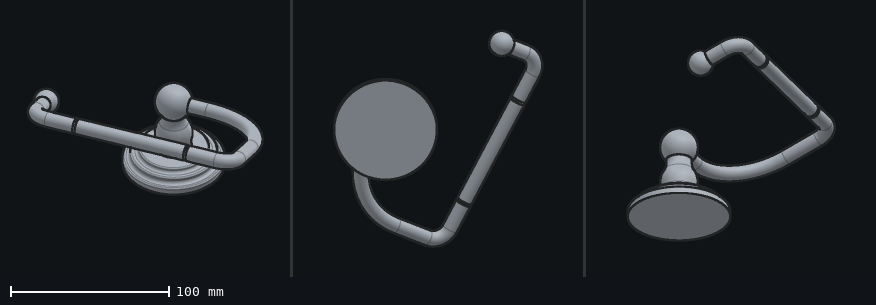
import cadquery as cq
import math

base_radius = 32.5
base_top = 4.9
middle_radius = 27.8
middle_foot_radius = 30.1
middle_cove_top = 7.6
middle_top = 9.5
upper_radius = 22.4
upper_foot_radius = 24.6
upper_cove_top = 11.6
upper_top = 13.0
edge_round = 1.0

post_foot_radius = 11.6
post_waist_radius = 11.0
post_waist_height = 17.3
bulge_start_radius = 11.2
bulge_start_height = 19.7
bulge_radius = 12.1
bulge_height = 25.0
bulge_end_radius = 9.3
bulge_end_height = 32.8
neck_mid_radius = 8.2
neck_mid_height = 36.3
neck_radius = 8.0
neck_start = 39.5
ball_radius = 12.1
ball_height = 49.4

rod_radius = 5.0
rod_tilt = 20
rod_half_span = 68.0
rod_reach = 79.8
large_bend_radius = 45.0
small_bend_radius = 10.9
tip_ball_radius = 8.0
tip_reach = 50.7

groove_offset = 37.5
groove_round = 0.9
groove_depth = 0.6


def cove_middle_point(start, end):
    """Middle of a quarter-ellipse-like hollow that runs in from start and then up to end."""
    inward = start[0] - end[0]
    rise = end[1] - start[1]
    diagonal = math.sqrt(0.5)
    return (start[0] - inward * diagonal, start[1] + rise * (1 - diagonal))


def rounded_edge_point(radius, top):
    """Middle of the quarter round on the outer top edge of a step."""
    setback = edge_round * (1 - math.sqrt(0.5))
    return (radius - setback, top - setback)


def make_stand():
    """Base plate and post as one revolved profile."""
    middle_foot = (middle_foot_radius, base_top)
    middle_cove_end = (middle_radius, middle_cove_top)
    upper_foot = (upper_foot_radius, middle_top)
    upper_cove_end = (upper_radius, upper_cove_top)
    profile = (
        cq.Workplane("XZ")
        .lineTo(base_radius, 0)
        .lineTo(base_radius, base_top - edge_round)
        .threePointArc(rounded_edge_point(base_radius, base_top), (base_radius - edge_round, base_top))
        .lineTo(*middle_foot)
        .threePointArc(cove_middle_point(middle_foot, middle_cove_end), middle_cove_end)
        .lineTo(middle_radius, middle_top - edge_round)
        .threePointArc(rounded_edge_point(middle_radius, middle_top), (middle_radius - edge_round, middle_top))
        .lineTo(*upper_foot)
        .threePointArc(cove_middle_point(upper_foot, upper_cove_end), upper_cove_end)
        .lineTo(upper_radius, upper_top - edge_round)
        .threePointArc(rounded_edge_point(upper_radius, upper_top), (upper_radius - edge_round, upper_top))
        .lineTo(post_foot_radius, upper_top)
        .threePointArc((post_waist_radius, post_waist_height), (bulge_start_radius, bulge_start_height))
        .threePointArc((bulge_radius, bulge_height), (bulge_end_radius, bulge_end_height))
        .threePointArc((neck_mid_radius, neck_mid_height), (neck_radius, neck_start))
        .lineTo(neck_radius, ball_height)
        .lineTo(0, ball_height)
        .close()
    )
    return profile.revolve(360, (0, 0, 0), (0, 1, 0))


def make_rod():
    """Bent rod with its tip ball and grooves, laid flat with the post ball at the origin."""
    def bend(path, center, radius, middle_angle, end):
        angle = math.radians(middle_angle)
        middle = (center[0] + radius * math.cos(angle), center[1] + radius * math.sin(angle))
        return path.threePointArc(middle, end)

    large_center_x = rod_half_span - large_bend_radius
    small_center_x = rod_half_span - small_bend_radius
    small_center_y = small_bend_radius - rod_reach

    path = cq.Workplane("XY").lineTo(large_center_x, 0)
    path = bend(path, (large_center_x, -large_bend_radius), large_bend_radius, 45,
                (rod_half_span, -large_bend_radius))
    path = path.lineTo(rod_half_span, small_center_y)
    path = bend(path, (small_center_x, small_center_y), small_bend_radius, -45,
                (small_center_x, -rod_reach))
    path = path.lineTo(-small_center_x, -rod_reach)
    path = bend(path, (-small_center_x, small_center_y), small_bend_radius, -135,
                (-rod_half_span, small_center_y))
    path = path.lineTo(-rod_half_span, -tip_reach)

    rod = cq.Workplane("YZ").circle(rod_radius).sweep(path)
    groove_ring_radius = rod_radius - groove_depth + groove_round
    for side in (-1, 1):
        groove = (
            cq.Workplane("XY", origin=(side * groove_offset, -rod_reach, 0))
            .moveTo(0, groove_ring_radius)
            .circle(groove_round)
            .revolve(360, (0, 0, 0), (1, 0, 0))
        )
        rod = rod.cut(groove)

    tip_ball = cq.Workplane("XY").sphere(tip_ball_radius).translate((-rod_half_span, -tip_reach, 0))
    return rod.union(tip_ball)


post_ball = cq.Workplane("XY").sphere(ball_radius).translate((0, 0, ball_height))
tilted_rod = (
    make_rod()
    .rotate((0, 0, 0), (1, 0, 0), -rod_tilt)
    .translate((0, 0, ball_height))
)
result = make_stand().union(post_ball).union(tilted_rod)